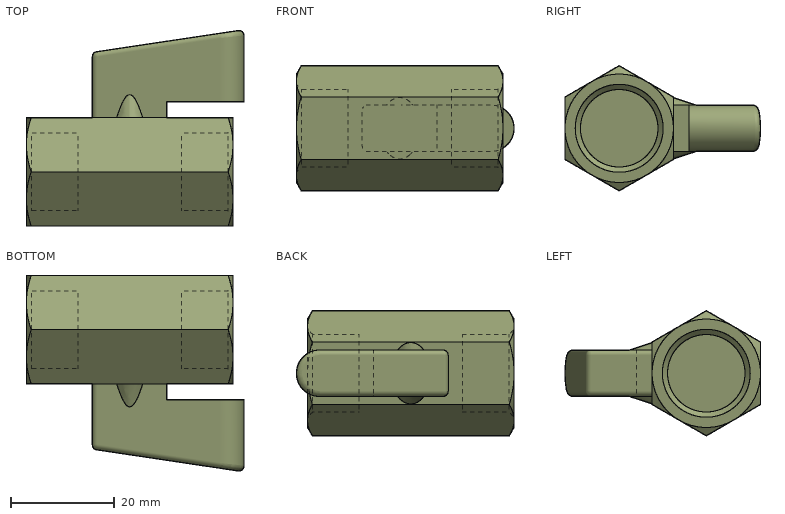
import cadquery as cq
import math

overall_length = 42.15

housing_length = 40.0
across_flats = 21.0
across_corners = across_flats / math.cos(math.radians(180 / 6))
end_bevel_angle = 30.0
bore_diameter = 15.0
bore_depth = 10.0
bore_chamfer = 1.0

seat_y = across_flats / 2
handle_thickness = 8.98
handle_left_x = -7.25
handle_right_x = overall_length - housing_length / 2
foot_right_x = 7.2
arm_clearance = 3.05
tip_y = 27.52
top_slope_angle = 8.5
handle_fillet = 1.0

stem_half_width = 5.95
stem_aspect = 0.65
stem_height = 5.05
stem_taper_angle = 18.2


def make_housing():
    corner_to_flat_turn = 30
    bar = (
        cq.Workplane("YZ")
        .polygon(6, across_corners)
        .extrude(housing_length)
        .rotate((0, 0, 0), (1, 0, 0), corner_to_flat_turn)
        .translate((-housing_length / 2, 0, 0))
    )
    flat_radius = across_flats / 2
    corner_radius = across_corners / 2
    bevel_length = (corner_radius - flat_radius) * math.tan(math.radians(end_bevel_angle))
    half_length = housing_length / 2
    envelope = (
        cq.Workplane("XY")
        .moveTo(-half_length, 0)
        .lineTo(-half_length, flat_radius)
        .lineTo(-half_length + bevel_length, corner_radius)
        .lineTo(half_length - bevel_length, corner_radius)
        .lineTo(half_length, flat_radius)
        .lineTo(half_length, 0)
        .close()
        .revolve(360, (0, 0, 0), (1, 0, 0))
    )
    bar = bar.intersect(envelope)
    for end in (">X", "<X"):
        bar = bar.faces(end).workplane(centerOption="CenterOfMass").hole(bore_diameter, bore_depth)
        bar = bar.faces(end).edges("%CIRCLE").edges(cq.selectors.RadiusNthSelector(0)).chamfer(bore_chamfer)
    return bar


def make_lever():
    handle_length = handle_right_x - handle_left_x
    left_y = tip_y - handle_length * math.tan(math.radians(top_slope_angle))
    arm_y = seat_y + arm_clearance
    half_thickness = handle_thickness / 2
    profile = (
        cq.Workplane("XY")
        .moveTo(handle_left_x, seat_y)
        .lineTo(foot_right_x, seat_y)
        .lineTo(foot_right_x, arm_y)
        .lineTo(handle_right_x, arm_y)
        .lineTo(handle_right_x, tip_y)
        .lineTo(handle_left_x, left_y)
        .close()
        .extrude(half_thickness, both=True)
    )
    round_centre_x = handle_right_x - half_thickness
    plan = (
        cq.Workplane("XZ")
        .moveTo(handle_left_x, -half_thickness)
        .lineTo(round_centre_x, -half_thickness)
        .threePointArc((handle_right_x, 0), (round_centre_x, half_thickness))
        .lineTo(handle_left_x, half_thickness)
        .close()
        .extrude(-2 * tip_y)
    )
    lever = profile.intersect(plan)
    return lever.faces("<X or >Y").edges("not <Y").fillet(handle_fillet)


def make_stem():
    top_half_width = stem_half_width - stem_height * math.tan(math.radians(stem_taper_angle))
    return (
        cq.Workplane("XZ", origin=(0, seat_y, 0))
        .ellipse(stem_aspect * stem_half_width, stem_half_width)
        .workplane(offset=-stem_height)
        .ellipse(stem_aspect * top_half_width, top_half_width)
        .loft()
    )


housing = make_housing()
handle = make_lever().union(make_stem())

result = cq.Compound.makeCompound([housing.val(), handle.val()])